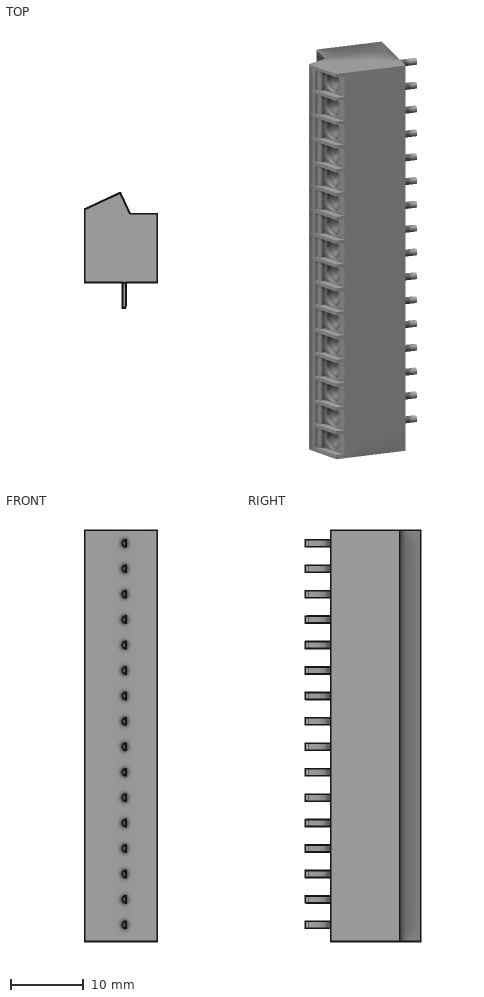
import cadquery as cq
import math

pole_count = 16
pitch = 3.5
first_pole_z = 2.3
housing_height = 56.6

housing_width = 10.0
apex_y = 12.4
ledge_y = 9.5
slope_angle = 25.0
slope_length = 5.4
slope = math.radians(slope_angle)
left_x = -housing_width / 2
right_x = housing_width / 2
shoulder_y = apex_y - slope_length * math.sin(slope)
apex_x = left_x + slope_length * math.cos(slope)
notch_x = apex_x + (apex_y - ledge_y) * math.tan(slope)

pocket_width = 3.0
pocket_depth = 1.08
back_wall_position = 3.38
back_wall_top_depth = 0.48
bevel_size = 0.22
middle_step_position = 4.08
upper_step_depth = 0.04
pocket_end_position = 4.85
pocket_overrun = 2.0
pocket_drop = 0.18

hole_radius = 1.4
hole_position = 1.7
hole_straight_depth = 0.85

pin_flat_x = 0.7
pin_radius = 0.5
pin_length = 3.5
pin_tip_length = 0.4
pin_tip_cut = 0.12
pin_root = 0.5

pole_heights = [first_pole_z + pitch * index for index in range(pole_count)]


def slope_plane(z):
    """Plane with x up the slope, y out of the sloped face, origin at the shoulder."""
    return cq.Plane(
        origin=(left_x, shoulder_y, z),
        xDir=(math.cos(slope), math.sin(slope), 0),
        normal=(0, 0, 1),
    )


def make_housing():
    outline = [
        (left_x, 0),
        (right_x, 0),
        (right_x, ledge_y),
        (notch_x, ledge_y),
        (apex_x, apex_y),
        (left_x, shoulder_y),
    ]
    return cq.Workplane("XY").polyline(outline).close().extrude(housing_height)


def make_pocket(z):
    """Stepped pocket, open through the sloped face and the -X wall."""
    bevel_end_position = back_wall_position + bevel_size
    middle_step_depth = back_wall_top_depth - bevel_size
    profile = [
        (-pocket_overrun, -pocket_depth),
        (back_wall_position, -pocket_depth),
        (back_wall_position, -back_wall_top_depth),
        (bevel_end_position, -middle_step_depth),
        (middle_step_position, -middle_step_depth),
        (middle_step_position, -upper_step_depth),
        (pocket_end_position, -upper_step_depth),
        (pocket_end_position, pocket_overrun),
        (-pocket_overrun, pocket_overrun),
    ]
    return cq.Workplane(slope_plane(z)).polyline(profile).close().extrude(pocket_width / 2, both=True)


def make_wire_hole(z):
    """Round hole sunk from the pocket floor, revolved about its own axis."""
    cone_start = -pocket_depth - hole_straight_depth
    profile = [
        (hole_position, -pocket_depth),
        (hole_position + hole_radius, -pocket_depth),
        (hole_position + hole_radius, cone_start),
        (hole_position, cone_start - hole_radius),
    ]
    axis_start = (hole_position, 0)
    axis_end = (hole_position, 1)
    return cq.Workplane(slope_plane(z)).polyline(profile).close().revolve(360, axis_start, axis_end)


def make_pin(z):
    """Half-round pin pointing toward -Y, rooted inside the housing."""
    root_plane = cq.Plane(origin=(pin_flat_x, pin_root, z), xDir=(1, 0, 0), normal=(0, -1, 0))
    half_round = (
        cq.Workplane(root_plane)
        .moveTo(0, -pin_radius)
        .threePointArc((-pin_radius, 0), (0, pin_radius))
        .close()
        .extrude(pin_root + pin_length)
    )
    tip_wedge = (
        cq.Workplane(cq.Plane.XY(origin=(pin_flat_x, -pin_length, z)))
        .polyline([(0, 0), (-pin_tip_cut, 0), (0, pin_tip_length)])
        .close()
        .extrude(pin_radius, both=True)
    )
    return half_round.cut(tip_wedge)


result = make_housing()
for pole_z in pole_heights:
    entry_z = pole_z - pocket_drop
    result = result.cut(make_pocket(entry_z)).cut(make_wire_hole(entry_z))
    result = result.union(make_pin(pole_z))